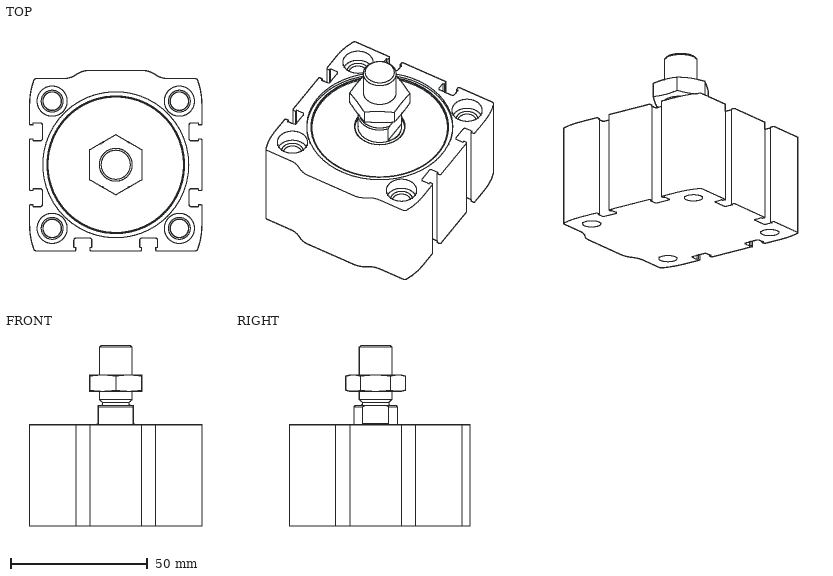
import cadquery as cq
import math


half_width = 63.0 / 2
body_height = 37.0
side_arc_start = 22.2
side_arc_radius = 25.1
corner_radius = 1.05

boss_rise = 3.0
boss_half_width = 9.8
boss_blend_radius = 7.9

slot_offset = 12.0
slot_opening = 5.15
slot_width = 6.5
slot_depth = 4.7
lip_thickness = 1.4
slot_floor_round = 0.65
lip_round = 0.4

hole_offset = 23.2
hole_diameter = 6.65
hole_mouth_diameter = 8.0
hole_mouth_depth = 0.7
counterbore_diameter = 11.0
counterbore_depth = 4.9

groove_outer_radius = 53.3 / 2
groove_wall_depth = 1.2
ridge_outer_radius = 25.15
ridge_inner_radius = 24.95
ridge_depth = 0.3
valley_radius = 24.75
valley_depth = 0.8
rim_round_radius = 24.1
rim_round_depth = 0.25
cover_face_radius = 23.4

recess_diameter = 18.1
recess_chamfer = 0.2
recess_wall_depth = 0.8
recess_inner_depth = 0.1

rod_diameter = 16.0
rod_insertion = 9.9
rod_top = 66.0
shoulder_height = 44.1
shoulder_chamfer = 0.5
flats_width = 12.9
flats_bottom = body_height + 0.4
flat_runout_angle = 30.0
neck_diameter = 9.8
neck_foot_round = 0.43
thread_diameter = 12.0
thread_bottom = 46.25
tip_diameter = 10.6
tip_chamfer = (thread_diameter - tip_diameter) / 2

nut_bottom = 49.2
nut_thickness = 6.0
nut_flats_width = 19.0
nut_chamfer_diameter = 18.75
nut_chamfer_angle = 15.0

quarter_round_inset = 1 - math.sqrt(0.5)

arc_height = half_width - side_arc_start
arc_angle = math.asin(arc_height / side_arc_radius)
corner_x = half_width - side_arc_radius * (1 - math.cos(arc_angle))


def block_outline():
    """Square outline with sides curving in near the corners and a blended boss on +Y."""
    mid_x = half_width - side_arc_radius * (1 - math.cos(arc_angle / 2))
    mid_y = side_arc_start + side_arc_radius * math.sin(arc_angle / 2)

    blend_width = math.sqrt(boss_rise * (4 * boss_blend_radius - boss_rise))
    blend_mid_x = boss_half_width + blend_width / 2
    foot_x = boss_half_width + blend_width
    boss_top = half_width + boss_rise
    return (
        cq.Workplane("XY")
        .moveTo(-corner_x, -half_width)
        .lineTo(corner_x, -half_width)
        .threePointArc((mid_x, -mid_y), (half_width, -side_arc_start))
        .lineTo(half_width, side_arc_start)
        .threePointArc((mid_x, mid_y), (corner_x, half_width))
        .lineTo(foot_x, half_width)
        .tangentArcPoint((blend_mid_x, half_width + boss_rise / 2), relative=False)
        .tangentArcPoint((boss_half_width, boss_top), relative=False)
        .lineTo(-boss_half_width, boss_top)
        .tangentArcPoint((-blend_mid_x, half_width + boss_rise / 2), relative=False)
        .tangentArcPoint((-foot_x, half_width), relative=False)
        .lineTo(-corner_x, half_width)
        .threePointArc((-mid_x, mid_y), (-half_width, side_arc_start))
        .lineTo(-half_width, -side_arc_start)
        .threePointArc((-mid_x, -mid_y), (-corner_x, -half_width))
        .close()
    )


def make_block():
    """Solid block with its four outer corners rounded."""
    block = block_outline().extrude(body_height)
    for x in (-corner_x, corner_x):
        for y in (-half_width, half_width):
            corner = cq.selectors.NearestToPointSelector((x, y, body_height / 2))
            block = block.edges(corner).fillet(corner_radius)
    return block


def slot_cutter(along, turn):
    """Undercut slot in the -Y side at X = along, turned about Z to another side."""
    mouth = slot_opening / 2
    flare = mouth + lip_round
    inner = slot_width / 2
    outer_y = -half_width
    lip_y = outer_y + lip_thickness
    floor_y = outer_y + slot_depth
    lip_bend = lip_round * quarter_round_inset
    floor_bend = slot_floor_round * quarter_round_inset
    cutter = (
        cq.Workplane("XY")
        .moveTo(-flare, outer_y)
        .threePointArc((-mouth - lip_bend, outer_y + lip_bend), (-mouth, outer_y + lip_round))
        .lineTo(-mouth, lip_y)
        .lineTo(-inner, lip_y)
        .lineTo(-inner, floor_y - slot_floor_round)
        .threePointArc((-inner + floor_bend, floor_y - floor_bend), (-inner + slot_floor_round, floor_y))
        .lineTo(inner - slot_floor_round, floor_y)
        .threePointArc((inner - floor_bend, floor_y - floor_bend), (inner, floor_y - slot_floor_round))
        .lineTo(inner, lip_y)
        .lineTo(mouth, lip_y)
        .lineTo(mouth, outer_y + lip_round)
        .threePointArc((mouth + lip_bend, outer_y + lip_bend), (flare, outer_y))
        .close()
        .extrude(body_height)
    )
    return cutter.translate((along, 0, 0)).rotate((0, 0, 0), (0, 0, 1), turn)


def mounting_hole_cutter():
    """Counterbored through hole with a conical mouth, on the Z axis."""
    floor_z = body_height - counterbore_depth
    return (
        cq.Workplane("XZ")
        .moveTo(0, 0)
        .lineTo(hole_diameter / 2, 0)
        .lineTo(hole_diameter / 2, floor_z - hole_mouth_depth)
        .lineTo(hole_mouth_diameter / 2, floor_z)
        .lineTo(counterbore_diameter / 2, floor_z)
        .lineTo(counterbore_diameter / 2, body_height)
        .lineTo(0, body_height)
        .close()
        .revolve(360, (0, 0, 0), (0, 1, 0))
    )


def ring_groove_cutter():
    """Ring between the housing bore and the cover face, whose rim rounds over tangent to the top."""
    rim_width = rim_round_radius - cover_face_radius
    rim_arc_radius = (rim_width**2 + rim_round_depth**2) / (2 * rim_round_depth)
    half_angle = math.asin(rim_width / rim_arc_radius) / 2
    rim_mid_radius = cover_face_radius + rim_arc_radius * math.sin(half_angle)
    rim_mid_depth = rim_arc_radius * (1 - math.cos(half_angle))
    return (
        cq.Workplane("XZ")
        .moveTo(groove_outer_radius, body_height)
        .lineTo(groove_outer_radius, body_height - groove_wall_depth)
        .lineTo(ridge_outer_radius, body_height - ridge_depth)
        .lineTo(ridge_inner_radius, body_height - ridge_depth)
        .lineTo(valley_radius, body_height - valley_depth)
        .lineTo(rim_round_radius, body_height - rim_round_depth)
        .threePointArc((rim_mid_radius, body_height - rim_mid_depth), (cover_face_radius, body_height))
        .close()
        .revolve(360, (0, 0, 0), (0, 1, 0))
    )


def rod_recess_cutter():
    """Shallow chamfered recess around the rod, down to its conical floor."""
    rod_radius = rod_diameter / 2
    recess_radius = recess_diameter / 2
    return (
        cq.Workplane("XZ")
        .moveTo(rod_radius, body_height)
        .lineTo(rod_radius, body_height - recess_inner_depth)
        .lineTo(recess_radius, body_height - recess_wall_depth)
        .lineTo(recess_radius, body_height - recess_chamfer)
        .lineTo(recess_radius + recess_chamfer, body_height)
        .close()
        .revolve(360, (0, 0, 0), (0, 1, 0))
    )


def make_housing():
    """Block with its slots, mounting holes, ring groove and rod hole."""
    housing = make_block()
    for turn in (-90, 0, 90):
        for along in (-slot_offset, slot_offset):
            housing = housing.cut(slot_cutter(along, turn))
    hole = mounting_hole_cutter()
    for x in (-hole_offset, hole_offset):
        for y in (-hole_offset, hole_offset):
            housing = housing.cut(hole.translate((x, y, 0)))
    housing = housing.cut(ring_groove_cutter())
    housing = housing.cut(rod_recess_cutter())
    top = cq.Workplane("XY").workplane(offset=body_height)
    return housing.cut(top.circle(rod_diameter / 2).extrude(-rod_insertion))


def flat_cutter():
    """Removes the +X side of the rod down to a flat that runs out in a shallow slope."""
    flat_x = flats_width / 2
    runout = rod_diameter / 2 - flat_x
    runout_drop = runout * math.tan(math.radians(flat_runout_angle))
    return (
        cq.Workplane("XZ")
        .moveTo(flat_x, flats_bottom)
        .lineTo(flat_x + runout, flats_bottom - runout_drop)
        .lineTo(flat_x + runout, shoulder_height)
        .lineTo(flat_x, shoulder_height)
        .close()
        .extrude(rod_diameter / 2, both=True)
    )


def make_rod():
    """Stepped rod with two wrench flats, an undercut neck and a plain threaded end."""
    rod_radius = rod_diameter / 2
    neck_radius = neck_diameter / 2
    thread_radius = thread_diameter / 2
    rod_bottom = body_height - rod_insertion
    foot_bend = neck_foot_round * quarter_round_inset
    rod = (
        cq.Workplane("XZ")
        .moveTo(0, rod_bottom)
        .lineTo(rod_radius, rod_bottom)
        .lineTo(rod_radius, shoulder_height - shoulder_chamfer)
        .lineTo(rod_radius - shoulder_chamfer, shoulder_height)
        .lineTo(neck_radius + neck_foot_round, shoulder_height)
        .threePointArc(
            (neck_radius + foot_bend, shoulder_height + foot_bend),
            (neck_radius, shoulder_height + neck_foot_round),
        )
        .lineTo(neck_radius, thread_bottom - (thread_radius - neck_radius))
        .lineTo(thread_radius, thread_bottom)
        .lineTo(thread_radius, rod_top - tip_chamfer)
        .lineTo(thread_radius - tip_chamfer, rod_top)
        .lineTo(0, rod_top)
        .close()
        .revolve(360, (0, 0, 0), (0, 1, 0))
    )
    for turn in (0, 180):
        rod = rod.cut(flat_cutter().rotate((0, 0, 0), (0, 0, 1), turn))
    return rod


def make_nut():
    """Hexagon nut with two flats facing +X and -X, its corners chamfered on both faces."""
    hexagon_radius = nut_flats_width / math.sqrt(3)
    face_radius = nut_chamfer_diameter / 2
    corner_drop = (hexagon_radius - face_radius) * math.tan(math.radians(nut_chamfer_angle))
    hexagon = (
        cq.Workplane("XY")
        .polygon(6, 2 * hexagon_radius)
        .extrude(nut_thickness)
        .rotate((0, 0, 0), (0, 0, 1), 90)
    )
    chamfered_blank = (
        cq.Workplane("XZ")
        .moveTo(0, 0)
        .lineTo(face_radius, 0)
        .lineTo(hexagon_radius, corner_drop)
        .lineTo(hexagon_radius, nut_thickness - corner_drop)
        .lineTo(face_radius, nut_thickness)
        .lineTo(0, nut_thickness)
        .close()
        .revolve(360, (0, 0, 0), (0, 1, 0))
    )
    bore = cq.Workplane("XY").circle(thread_diameter / 2).extrude(nut_thickness)
    return hexagon.intersect(chamfered_blank).cut(bore).translate((0, 0, nut_bottom))


housing = make_housing()
rod = make_rod()
nut = make_nut()
result = cq.Compound.makeCompound([housing.val(), rod.val(), nut.val()])